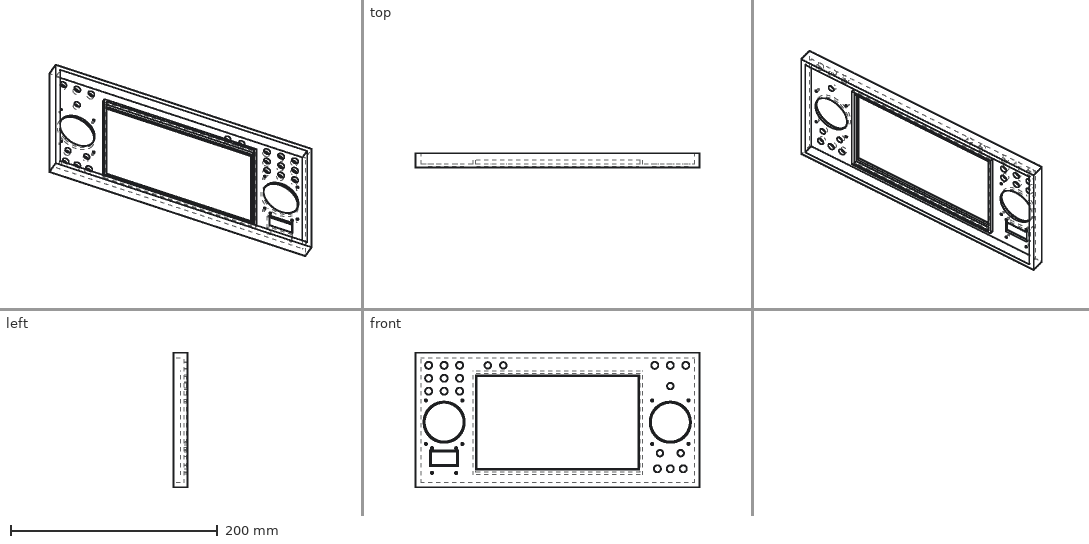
import cadquery as cq

width = 275.0
depth = 14.0
height = 130.4
face_thickness = 3.8
wall = 5.0

button_diameter = 6.5
small_button_diameter = 6.0
screw_diameter = 2.0
dial_diameter = 37.5

bevel = 1.5

left_x = 27.8
right_x = width - 28.3
dial_z = 63.0
top_row_z = height - 12.5
button_pitch_x = 15.0
button_pitch_z = 12.5

window_width = 157.8
window_height = 91.8
window_z = 62.7
window_side_bevel = 0.95

rim_back = 7.5
rim_thickness = 2.5
rim_side_gap = 0.5
rim_end_gap = 1.6

port_width = 27.5
port_height = 15.7
port_z = 28.0
port_screw_z = 25.8
port_screw_spacing_x = 23.5
port_screw_spacing_z = 24.0

dial_screw_spacing_x = 35.2
dial_screw_spacing_z = 42.0

top_pair_x = 77.5
single_button_z = height - 32.5
lower_pair_z = 33.0
lower_pair_spacing = 20.0
lower_row_z = 18.0
lower_row_pitch = 12.5


def face_plane(y=0.0):
    """Plane parallel to the face at the given Y, with its normal pointing out of the face."""
    return cq.Workplane(cq.Plane(origin=(0, y, 0), xDir=(1, 0, 0), normal=(0, -1, 0)))


def drill(body, points, diameter):
    """Cut round holes straight through the face."""
    return body.cut(face_plane().pushPoints(points).circle(diameter / 2).extrude(-depth))


def grid(x, z, columns, rows, pitch_x, pitch_z):
    """Points of a regular grid centred on (x, z)."""
    return [
        (x + (i - (columns - 1) / 2) * pitch_x, z + (j - (rows - 1) / 2) * pitch_z)
        for i in range(columns)
        for j in range(rows)
    ]


def row(x, z, count, pitch):
    """Points of a horizontal row centred on (x, z)."""
    return grid(x, z, count, 1, pitch, 0)


def cut_dial(body, x):
    """Large round opening, bevelled at the face, with four screw holes."""
    body = drill(body, [(x, dial_z)], dial_diameter)
    cone = cq.Solid.makeCone(
        dial_diameter / 2 + bevel, dial_diameter / 2, bevel,
        pnt=cq.Vector(x, 0, dial_z), dir=cq.Vector(0, 1, 0),
    )
    screws = grid(x, dial_z, 2, 2, dial_screw_spacing_x, dial_screw_spacing_z)
    return drill(body.cut(cq.Workplane(cone)), screws, screw_diameter)


def cut_rectangle(body, x, z, outer_width, outer_height, side_bevel):
    """Rectangular opening whose four edges are bevelled at the face."""
    inner_width = outer_width - 2 * side_bevel
    inner_height = outer_height - 2 * bevel
    opening = face_plane().center(x, z).rect(inner_width, inner_height).extrude(-depth)
    funnel = (
        face_plane().center(x, z).rect(outer_width, outer_height)
        .workplane(offset=-bevel).rect(inner_width, inner_height)
        .loft(ruled=True)
    )
    return body.cut(opening).cut(funnel)


result = cq.Workplane("XY").box(width, depth, height, centered=False)
cavity = cq.Workplane("XY").box(
    width - 2 * wall, depth - face_thickness, height - 2 * wall, centered=False
)
result = result.cut(cavity.translate((wall, face_thickness, wall)))

rim_inner_width = window_width + 2 * rim_side_gap
rim_inner_height = window_height + 2 * rim_end_gap
rim = (
    face_plane(face_thickness)
    .center(width / 2, window_z)
    .rect(rim_inner_width + 2 * rim_thickness, rim_inner_height + 2 * rim_thickness)
    .rect(rim_inner_width, rim_inner_height)
    .extrude(face_thickness - rim_back)
)
result = result.union(rim)

for dial_x in (left_x, right_x):
    result = cut_dial(result, dial_x)
result = cut_rectangle(result, width / 2, window_z, window_width, window_height, window_side_bevel)
result = cut_rectangle(result, left_x, port_z, port_width, port_height, bevel)
port_screws = grid(left_x, port_screw_z, 2, 2, port_screw_spacing_x, port_screw_spacing_z)
result = drill(result, port_screws, screw_diameter)

keypad_z = top_row_z - button_pitch_z
buttons = (
    grid(left_x, keypad_z, 3, 3, button_pitch_x, button_pitch_z)
    + row(right_x, top_row_z, 3, button_pitch_x)
    + row(right_x, lower_row_z, 3, lower_row_pitch)
)
small_buttons = (
    row(top_pair_x, top_row_z, 2, button_pitch_x)
    + [(right_x, single_button_z)]
    + row(right_x, lower_pair_z, 2, lower_pair_spacing)
)
result = drill(result, buttons, button_diameter)
result = drill(result, small_buttons, small_button_diameter)